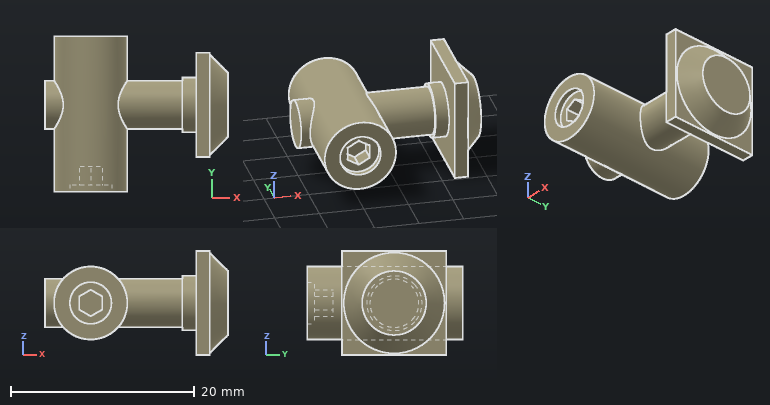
import cadquery as cq
import math


barrel_diameter = 8.0
barrel_length = 17.0
barrel_front = -9.5

screw_hole_diameter = 4.55
screw_recess_depth = 0.8
hex_across_flats = 2.5
hex_depth = 2.0

shaft_diameter = 5.3
shaft_start = -5.0
shaft_length = 15.0
collar_diameter = 6.0
collar_length = 1.5
plate_width = 11.4
plate_thickness = 1.5
cone_length = 2.0
cone_end_diameter = 7.0
cone_base_diameter = cone_end_diameter + 2 * cone_length

collar_start = shaft_start + shaft_length
plate_start = collar_start + collar_length
cone_start = plate_start + plate_thickness


def plane_across_x(x):
    """Sketch plane on the shaft axis, facing +X."""
    return cq.Workplane("YZ", origin=(x, 0, 0))


def plane_into_barrel(depth):
    """Sketch plane facing +Y, at a depth below the front face of the barrel."""
    return cq.Workplane(cq.Plane(origin=(0, barrel_front + depth, 0), xDir=(1, 0, 0), normal=(0, 1, 0)))


def make_barrel():
    return plane_into_barrel(0).circle(barrel_diameter / 2).extrude(barrel_length)


def make_shaft():
    shaft = plane_across_x(shaft_start).circle(shaft_diameter / 2).extrude(shaft_length)
    collar = plane_across_x(collar_start).circle(collar_diameter / 2).extrude(collar_length)
    return shaft.union(collar)


def make_head():
    plate = plane_across_x(plate_start).rect(plate_width, plate_width).extrude(plate_thickness)
    cone = (
        plane_across_x(cone_start)
        .circle(cone_base_diameter / 2)
        .workplane(offset=cone_length)
        .circle(cone_end_diameter / 2)
        .loft(ruled=True)
    )
    return plate.union(cone)


def make_screw_cutout():
    """Round recess above the screw, then its hexagon socket with corners pointing up and down."""
    recess = plane_into_barrel(0).circle(screw_hole_diameter / 2).extrude(screw_recess_depth)
    hex_across_corners = hex_across_flats / math.cos(math.pi / 6)
    socket = (
        plane_into_barrel(screw_recess_depth)
        .transformed(rotate=(0, 0, 90))
        .polygon(6, hex_across_corners)
        .extrude(hex_depth)
    )
    return recess.union(socket)


result = make_barrel().union(make_shaft()).union(make_head()).cut(make_screw_cutout())